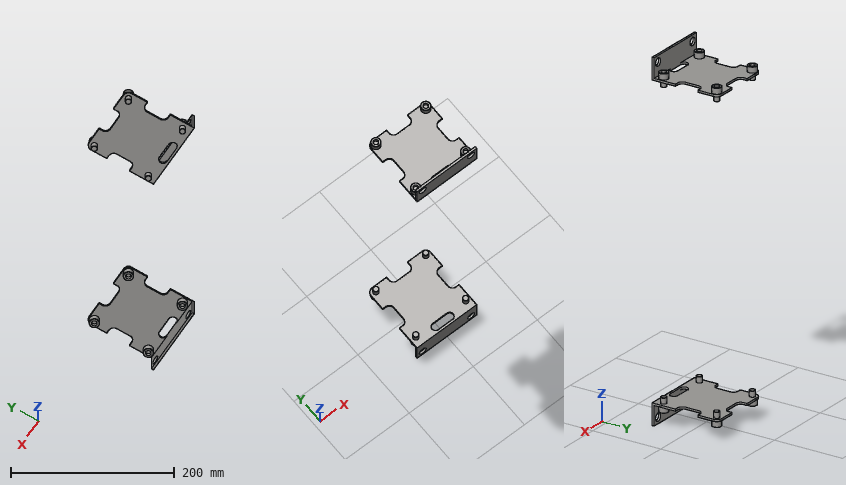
import cadquery as cq

width = 93.0
depth = 97.5
total_height = 490.0

plate_thickness = 3.0
flange_thickness = 3.2
flange_height = 30.5
corner_radius = 7.5

notch_length = 33.0
notch_depth = 12.0
notch_radius = 7.0
side_notch_offset = 51.0
slot_height = 11.0

hole_diameter = 11.0
hole_spacing = 75.5
hole_edge_distance = 9.0

stud_spacing = 78.0
stud_front_offset = 12.2
head_diameter = 12.5
head_height = 8.5
stem_diameter = 8.0
stem_length = 8.5
socket_diameter = 7.0
socket_depth = 5.0
stud_chamfer = 0.5

sides = (-1, 1)
stud_centers = [
    (side * stud_spacing / 2, stud_front_offset + row * stud_spacing)
    for side in sides
    for row in (0, 1)
]


def make_notch_cutters(centers, size_x, size_y):
    """Rounded blocks centred on the plate edges, so that half of each one cuts the plate."""
    return (
        cq.Workplane("XY")
        .pushPoints(centers)
        .rect(size_x, size_y)
        .extrude(plate_thickness)
        .edges("|Z")
        .fillet(notch_radius)
    )


def make_plate():
    """Flat plate with rounded rear corners, three edge notches and a slot along the flange."""
    plate = (
        cq.Workplane("XY")
        .box(width, depth, plate_thickness, centered=(True, False, False))
        .edges("|Z and >Y")
        .fillet(corner_radius)
    )
    side_notch_centers = [(side * width / 2, side_notch_offset) for side in sides]
    side_notches = make_notch_cutters(side_notch_centers, 2 * notch_depth, notch_length)
    rear_notch = make_notch_cutters([(0, depth)], notch_length, 2 * notch_depth)
    slot = (
        cq.Workplane("XY")
        .center(0, flange_thickness + slot_height / 2)
        .slot2D(notch_length, slot_height)
        .extrude(plate_thickness)
    )
    return plate.cut(side_notches).cut(rear_notch).cut(slot)


def make_flange():
    """Upright flange at the front edge with two mounting holes near its free edge."""
    flange = cq.Workplane("XY").box(width, flange_thickness, flange_height, centered=(True, False, False))
    hole_height = flange_height - hole_edge_distance
    holes = (
        cq.Workplane("XZ")
        .pushPoints([(side * hole_spacing / 2, hole_height) for side in sides])
        .circle(hole_diameter / 2)
        .extrude(-flange_thickness)
    )
    return flange.cut(holes)


def make_studs():
    """Four studs through the plate, chamfered at both ends, with a blind socket in each head."""
    head_top = plate_thickness + head_height
    heads = (
        cq.Workplane("XY")
        .pushPoints(stud_centers)
        .circle(head_diameter / 2)
        .extrude(head_top)
        .faces(">Z")
        .chamfer(stud_chamfer)
    )
    stems = (
        cq.Workplane("XY")
        .pushPoints(stud_centers)
        .circle(stem_diameter / 2)
        .extrude(-stem_length)
        .faces("<Z")
        .chamfer(stud_chamfer)
    )
    sockets = (
        cq.Workplane("XY", origin=(0, 0, head_top))
        .pushPoints(stud_centers)
        .circle(socket_diameter / 2)
        .extrude(-socket_depth)
    )
    return heads.union(stems).cut(sockets)


def make_bracket():
    """One bracket: plate, flange and studs as a single solid."""
    return make_plate().union(make_flange()).union(make_studs())


upper_bracket = make_bracket().translate((0, 0, total_height / 2 - flange_height))
lower_bracket = upper_bracket.mirror("XY")

result = cq.Compound.makeCompound([upper_bracket.solids().val(), lower_bracket.solids().val()])